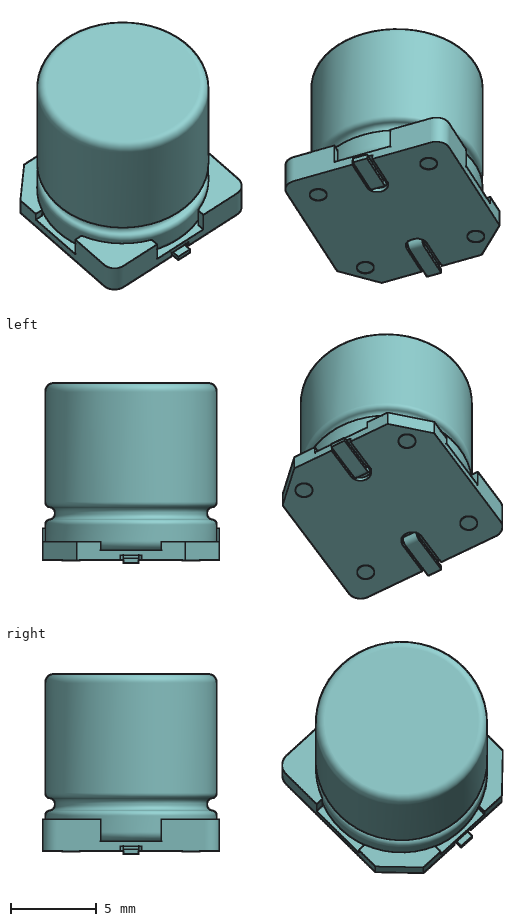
import cadquery as cq

TOTAL_HEIGHT = 10.5
BASE_BOTTOM_Z = 0.18
FLOOR_Z = 0.77
LEDGE_Z = 1.26
BLOCK_TOP_Z = 2.05

CAN_DIAMETER = 10.0
CAN_EDGE_RADIUS = 0.5
GROOVE_DIAMETER = 8.9
GROOVE_Z = 2.9
GROOVE_FLAT = 0.09
GROOVE_FLANK_HEIGHT = 0.6

LEAD_SPAN = 11.0
LEAD_WIDTH = 0.9
LEAD_THICKNESS = 0.3
LEAD_INNER_RADIUS = 0.05
LEAD_OUTER_RADIUS = LEAD_INNER_RADIUS + LEAD_THICKNESS
STEM_INNER_X = 2.64
STEM_OUTER_X = STEM_INNER_X + LEAD_THICKNESS

BASE_SIDE = 10.3
CORNER_CHAMFER = 1.98
CORNER_RADIUS = 0.8
NOTCH_WIDTH = 3.54
SLOT_WIDTH = 1.28
SLOT_TOP_Z = 0.47
FOOT_DIAMETER = 1.0
FOOT_HEIGHT = 0.04
FOOT_SPACING = 7.0


def make_can_shell():
    """Turned can with rounded rims and a crimp groove near its foot."""
    radius = CAN_DIAMETER / 2
    groove_radius = GROOVE_DIAMETER / 2
    middle_radius = (radius + groove_radius) / 2
    flat_bottom = GROOVE_Z - GROOVE_FLAT / 2
    flat_top = GROOVE_Z + GROOVE_FLAT / 2
    groove_bottom = flat_bottom - GROOVE_FLANK_HEIGHT
    groove_top = flat_top + GROOVE_FLANK_HEIGHT
    profile = (
        cq.Workplane("XZ")
        .moveTo(0, FLOOR_Z)
        .lineTo(radius - CAN_EDGE_RADIUS, FLOOR_Z)
        .tangentArcPoint((radius, FLOOR_Z + CAN_EDGE_RADIUS), relative=False)
        .lineTo(radius, groove_bottom)
        .tangentArcPoint((middle_radius, groove_bottom + GROOVE_FLANK_HEIGHT / 2), relative=False)
        .tangentArcPoint((groove_radius, flat_bottom), relative=False)
        .lineTo(groove_radius, flat_top)
        .tangentArcPoint((middle_radius, flat_top + GROOVE_FLANK_HEIGHT / 2), relative=False)
        .tangentArcPoint((radius, groove_top), relative=False)
        .lineTo(radius, TOTAL_HEIGHT - CAN_EDGE_RADIUS)
        .tangentArcPoint((radius - CAN_EDGE_RADIUS, TOTAL_HEIGHT), relative=False)
        .lineTo(0, TOTAL_HEIGHT)
        .close()
    )
    return profile.revolve(360, (0, 0, 0), (0, 1, 0))


def make_lead(side):
    """Bent strip on one side (+1 or -1 along X): flat foot outside, stem up to the can."""
    return (
        cq.Workplane("XZ")
        .moveTo(side * LEAD_SPAN / 2, 0)
        .lineTo(side * (STEM_INNER_X + LEAD_OUTER_RADIUS), 0)
        .tangentArcPoint((side * STEM_INNER_X, LEAD_OUTER_RADIUS), relative=False)
        .lineTo(side * STEM_INNER_X, FLOOR_Z)
        .lineTo(side * STEM_OUTER_X, FLOOR_Z)
        .lineTo(side * STEM_OUTER_X, LEAD_OUTER_RADIUS)
        .tangentArcPoint((side * (STEM_OUTER_X + LEAD_INNER_RADIUS), LEAD_THICKNESS), relative=False)
        .lineTo(side * LEAD_SPAN / 2, LEAD_THICKNESS)
        .close()
        .extrude(LEAD_WIDTH / 2, both=True)
    )


def make_can():
    """Can with its two leads, which stand on the can's bottom face."""
    can = make_can_shell()
    for side in (-1, 1):
        can = can.union(make_lead(side))
    return can


def box_between(x_min, x_max, width_y, z_min, z_max):
    """Box between two X and two Z positions, centred on Y = 0."""
    return (
        cq.Workplane("XY", origin=((x_min + x_max) / 2, 0, z_min))
        .rect(x_max - x_min, width_y)
        .extrude(z_max - z_min)
    )


def make_base_blank():
    """Square plate with two chamfered and two rounded corners, taller at the +X corners."""
    half = BASE_SIDE / 2
    blank = (
        box_between(-half, half, BASE_SIDE, BASE_BOTTOM_Z, BLOCK_TOP_Z)
        .edges("|Z and <X")
        .chamfer(CORNER_CHAMFER)
        .edges("|Z and >X")
        .fillet(CORNER_RADIUS)
    )
    low_part = box_between(-half, NOTCH_WIDTH / 2, BASE_SIDE, LEDGE_Z, BLOCK_TOP_Z)
    return blank.cut(low_part)


def make_lead_passage(side):
    """Round-ended slot under the base and the hole for the stem, on one side along X."""
    slot_length = BASE_SIDE / 2 - STEM_OUTER_X
    slot_centre = side * (BASE_SIDE / 2 + STEM_OUTER_X) / 2
    slot_height = SLOT_TOP_Z - BASE_BOTTOM_Z
    slot = cq.Workplane("XY", origin=(slot_centre, 0, BASE_BOTTOM_Z)).rect(slot_length, SLOT_WIDTH)
    slot = slot.extrude(slot_height)
    slot_end = cq.Workplane("XY", origin=(side * STEM_OUTER_X, 0, BASE_BOTTOM_Z)).circle(SLOT_WIDTH / 2)
    slot_end = slot_end.extrude(slot_height)
    stem_x = side * (STEM_INNER_X + STEM_OUTER_X) / 2
    stem_hole = cq.Workplane("XY", origin=(stem_x, 0, BASE_BOTTOM_Z)).rect(LEAD_THICKNESS, LEAD_WIDTH)
    stem_hole = stem_hole.extrude(FLOOR_Z - BASE_BOTTOM_Z)
    return slot.union(slot_end).union(stem_hole)


def make_base():
    """Plastic base: corner blocks around the can, a notch on each side, four feet below."""
    base = make_base_blank()

    notch_depth = BLOCK_TOP_Z - FLOOR_Z
    floor_plane = cq.Workplane("XY", origin=(0, 0, FLOOR_Z))
    base = base.cut(floor_plane.circle(CAN_DIAMETER / 2).extrude(notch_depth))
    base = base.cut(floor_plane.rect(NOTCH_WIDTH, BASE_SIDE).extrude(notch_depth))
    base = base.cut(floor_plane.rect(BASE_SIDE, NOTCH_WIDTH).extrude(notch_depth))

    for side in (-1, 1):
        base = base.cut(make_lead_passage(side))

    feet = (
        cq.Workplane("XY", origin=(0, 0, BASE_BOTTOM_Z))
        .rect(FOOT_SPACING, FOOT_SPACING, forConstruction=True)
        .vertices()
        .circle(FOOT_DIAMETER / 2)
        .extrude(-FOOT_HEIGHT)
    )
    return base.union(feet)


can = make_can()
base = make_base()
result = cq.Compound.makeCompound([can.solids().val(), base.solids().val()])